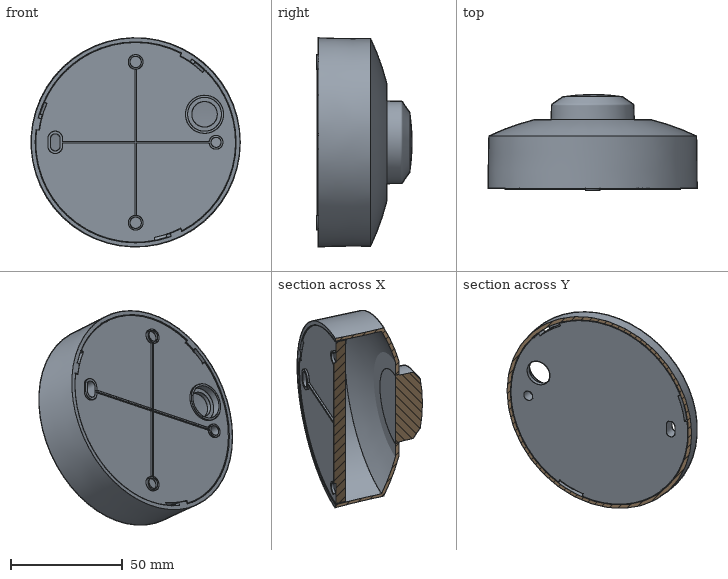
import cadquery as cq
import math


rim_radius = 46.8
shoulder_radius = 46.5
shoulder_height = 23.4
roof_height = 30.7
dome_radius = 107.7
wall = 1.9
dome_center = shoulder_height - math.sqrt(dome_radius**2 - shoulder_radius**2)

lens_base_radius = 18.7
lens_side_radius = 18.45
lens_bevel_radius = 18.0
lens_cap_radius = 13.4
lens_side_top = 37.0
lens_bevel_bottom = 37.8
lens_bevel_top = 41.0
lens_top = 42.0
overall_depth = 42.9
lens_base = roof_height - wall

fit_gap = 0.3
plate_radius = rim_radius - wall - fit_gap
plate_face = 0.4
plate_back = 5.15
relief_face = -0.6
rib_width = 0.75
mount_offset = 36.0

boss_outer_radius = 3.3
boss_inner_radius = 2.5
boss_face = lens_top - overall_depth

screw_collar_radius = 3.1
screw_radius = 2.25
slot_collar_width = 6.5
slot_collar_length = 10.0
slot_width = 4.3
slot_length = 7.7

entry_x = 30.8
entry_z = 12.55
entry_collar_radius = 8.5
entry_recess_radius = 7.6
entry_hole_radius = 5.7
entry_recess_floor = 3.1

tab_angles = [62.8, 172.8, 297.6]
tab_span = 6.9
ledge_span = 2.4
notch_span = 16.5
tab_inner_radius = 43.5
notch_radius = 43.4
tab_thickness = 2.3
ledge_thickness = 0.9


def disc(radius, start, end, x=0.0, z=0.0):
    """Cylinder along Y between two heights."""
    base = cq.Workplane("XZ", origin=(x, start, z))
    return base.circle(radius).extrude(start - end)


def stadium(width, length, start, end, x):
    """Upright rounded slot shape along Y between two heights."""
    base = cq.Workplane("XZ", origin=(x, start, 0))
    return base.slot2D(length, width, 90).extrude(start - end)


def ring_sector(inner, outer, first_angle, last_angle, start, end):
    """Piece of a ring around Y, swept counter-clockwise from the first angle to the last."""
    def point(radius, angle):
        turn = math.radians(angle)
        return (radius * math.cos(turn), radius * math.sin(turn))

    middle = (first_angle + last_angle) / 2
    outline = (
        cq.Workplane("XZ", origin=(0, start, 0))
        .moveTo(*point(inner, first_angle))
        .lineTo(*point(outer, first_angle))
        .threePointArc(point(outer, middle), point(outer, last_angle))
        .lineTo(*point(inner, last_angle))
        .threePointArc(point(inner, middle), point(inner, first_angle))
        .close()
    )
    return outline.extrude(start - end)


def domed_drum(inset):
    """Drum with a spherical shoulder and flat roof, set in evenly from the outer skin."""
    sphere = dome_radius - inset

    def height_at(radius):
        return dome_center + math.sqrt(sphere**2 - radius**2)

    roof = roof_height - inset
    side = shoulder_radius - inset
    roof_edge = math.sqrt(sphere**2 - (roof - dome_center)**2)
    middle = (side + roof_edge) / 2
    return (
        cq.Workplane("XY")
        .lineTo(rim_radius - inset, 0)
        .lineTo(side, height_at(side))
        .threePointArc((middle, height_at(middle)), (roof_edge, roof))
        .lineTo(0, roof)
        .close()
        .revolve(360, (0, 0, 0), (0, 1, 0))
    )


def make_lens():
    """Drum with a rounded shoulder, a conical bevel and a shallow spherical cap."""
    cap_rise = lens_top - lens_bevel_top
    cap_sphere = (lens_cap_radius**2 + cap_rise**2) / (2 * cap_rise)
    cap_middle = lens_cap_radius / 2
    cap_middle_height = lens_top - cap_sphere + math.sqrt(cap_sphere**2 - cap_middle**2)
    return (
        cq.Workplane("XY")
        .moveTo(0, lens_base)
        .lineTo(lens_base_radius, lens_base)
        .lineTo(lens_side_radius, lens_side_top)
        .tangentArcPoint((lens_bevel_radius, lens_bevel_bottom), relative=False)
        .lineTo(lens_cap_radius, lens_bevel_top)
        .threePointArc((cap_middle, cap_middle_height), (0, lens_top))
        .close()
        .revolve(360, (0, 0, 0), (0, 1, 0))
    )


def make_housing(lens):
    """Hollow domed shell with a hole for the lens and bayonet tabs inside its rim."""
    shell = domed_drum(0).cut(domed_drum(wall)).cut(lens)
    root_radius = rim_radius - wall / 2
    for angle in tab_angles:
        tab_end = angle - tab_span
        ledge_end = tab_end - ledge_span
        ledge_back = tab_thickness + ledge_thickness
        tab = ring_sector(tab_inner_radius, root_radius, tab_end, angle, 0, ledge_back)
        ledge = ring_sector(tab_inner_radius, root_radius, ledge_end, tab_end, tab_thickness, ledge_back)
        shell = shell.union(tab).union(ledge)
    return shell


def make_plate():
    """Base plate with tab notches, ribs, bosses, screw openings and cable entry."""
    plate = disc(plate_radius, plate_face, plate_back)
    for angle in tab_angles:
        plate = plate.cut(
            ring_sector(notch_radius, rim_radius, angle - notch_span, angle, plate_face, plate_back)
        )

    rib_length = 2 * mount_offset
    for length, width in [(rib_length, rib_width), (rib_width, rib_length)]:
        rib_base = cq.Workplane("XZ", origin=(0, plate_face, 0)).rect(length, width)
        plate = plate.union(rib_base.extrude(plate_face - relief_face))

    for z in (-mount_offset, mount_offset):
        plate = plate.union(disc(boss_outer_radius, boss_face, plate_back, 0, z))
        plate = plate.cut(disc(boss_inner_radius, boss_face, plate_face, 0, z))

    plate = plate.union(disc(screw_collar_radius, relief_face, plate_back, mount_offset))
    plate = plate.cut(disc(screw_radius, relief_face, plate_back, mount_offset))

    plate = plate.union(
        stadium(slot_collar_width, slot_collar_length, relief_face, plate_back, -mount_offset)
    )
    plate = plate.cut(stadium(slot_width, slot_length, relief_face, plate_back, -mount_offset))

    plate = plate.union(disc(entry_collar_radius, relief_face, plate_back, entry_x, entry_z))
    plate = plate.cut(disc(entry_recess_radius, relief_face, entry_recess_floor, entry_x, entry_z))
    return plate.cut(disc(entry_hole_radius, relief_face, plate_back, entry_x, entry_z))


lens = make_lens()
housing = make_housing(lens)
plate = make_plate()

result = cq.Compound.makeCompound([housing.solids().val(), lens.val(), plate.solids().val()])